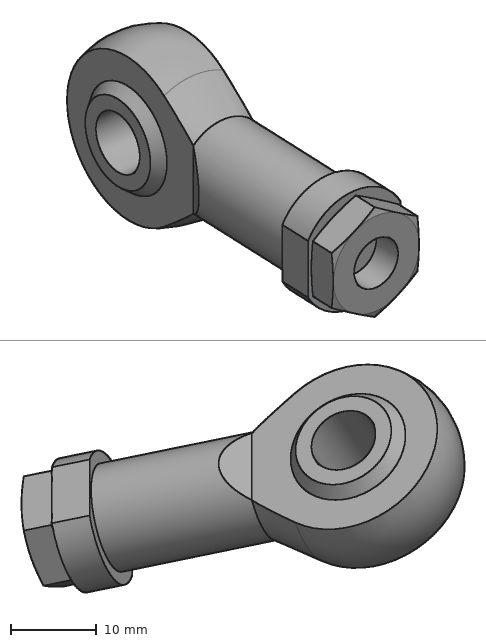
import cadquery as cq
import math

head_radius = 12.0
head_width = 9.0
hub_width = 12.0
hub_base_radius = 7.17
hub_face_radius = 5.97
eye_bore_diameter = 8.0
neck_x = 12.0
neck_slope_angle = 30.0
shank_diameter = 12.93
shank_end_x = 36.0
collar_length = 4.7
collar_diameter = 16.0
collar_across_flats = 14.0
nut_across_flats = 13.0
nut_thickness = 4.0
nut_chamfer_angle = 16.0
nut_bore_diameter = 6.65
nut_sides = 6

head_face_y = head_width / 2
hub_face_y = hub_width / 2
shank_radius = shank_diameter / 2
collar_start_x = shank_end_x - collar_length
nut_end_x = shank_end_x + nut_thickness
nut_flat_radius = nut_across_flats / 2
nut_corner_radius = nut_flat_radius / math.cos(math.pi / nut_sides)
nut_chamfer_depth = (nut_corner_radius - nut_flat_radius) * math.tan(math.radians(nut_chamfer_angle))


def make_turned_blank():
    """Spherical head, tangent conical neck and shank, revolved about X."""
    corner_distance = math.hypot(neck_x, shank_radius)
    tangent_angle = math.atan2(shank_radius, neck_x) + math.acos(head_radius / corner_distance)
    tangent_point = (head_radius * math.cos(tangent_angle), head_radius * math.sin(tangent_angle))
    return (
        cq.Workplane("XY")
        .moveTo(-head_radius, 0)
        .threePointArc((0, head_radius), tangent_point)
        .lineTo(neck_x, shank_radius)
        .lineTo(shank_end_x, shank_radius)
        .lineTo(shank_end_x, 0)
        .close()
        .revolve(360, (0, 0, 0), (1, 0, 0))
    )


def make_head_side_cutter():
    """Stock beyond the +Y head face, ending in a slope that runs out on the shank."""
    outer_reach = 2 * head_radius
    slope_run = (outer_reach - head_face_y) / math.tan(math.radians(neck_slope_angle))
    return (
        cq.Workplane("XY")
        .moveTo(-outer_reach, head_face_y)
        .lineTo(neck_x, head_face_y)
        .lineTo(neck_x + slope_run, outer_reach)
        .lineTo(-outer_reach, outer_reach)
        .close()
        .extrude(outer_reach, both=True)
    )


def make_collar():
    """Round collar with two wrench flats facing +Y and -Y."""
    disc = (
        cq.Workplane("YZ", origin=(collar_start_x, 0, 0))
        .circle(collar_diameter / 2)
        .extrude(collar_length)
    )
    flats = (
        cq.Workplane("YZ", origin=(collar_start_x, 0, 0))
        .rect(collar_across_flats, collar_diameter)
        .extrude(collar_length)
    )
    return disc.intersect(flats)


def make_hubs():
    """Coaxial hubs of the eye, tapering outward from both head faces."""
    return (
        cq.Workplane("XY")
        .moveTo(0, -hub_face_y)
        .lineTo(hub_face_radius, -hub_face_y)
        .lineTo(hub_base_radius, -head_face_y)
        .lineTo(hub_base_radius, head_face_y)
        .lineTo(hub_face_radius, hub_face_y)
        .lineTo(0, hub_face_y)
        .close()
        .revolve(360, (0, 0, 0), (0, 1, 0))
    )


def make_rod_end():
    """Bored eye with hubs, neck, shank and collar as one solid."""
    side_cutter = make_head_side_cutter()
    eye_bore = cq.Workplane("XZ").circle(eye_bore_diameter / 2).extrude(hub_width, both=True)
    return (
        make_turned_blank()
        .cut(side_cutter)
        .cut(side_cutter.mirror("XZ"))
        .union(make_collar())
        .union(make_hubs())
        .cut(eye_bore)
    )


def make_nut():
    """Hexagonal nut against the collar, both ends chamfered down to the across-flats circle."""
    half_side_angle = 180 / nut_sides
    hexagon = (
        cq.Workplane("YZ", origin=(shank_end_x, 0, 0))
        .polygon(nut_sides, 2 * nut_corner_radius)
        .extrude(nut_thickness)
        .rotate((0, 0, 0), (1, 0, 0), half_side_angle)
    )
    chamfer_envelope = (
        cq.Workplane("XY")
        .moveTo(shank_end_x, 0)
        .lineTo(shank_end_x, nut_flat_radius)
        .lineTo(shank_end_x + nut_chamfer_depth, nut_corner_radius)
        .lineTo(nut_end_x - nut_chamfer_depth, nut_corner_radius)
        .lineTo(nut_end_x, nut_flat_radius)
        .lineTo(nut_end_x, 0)
        .close()
        .revolve(360, (0, 0, 0), (1, 0, 0))
    )
    bore = (
        cq.Workplane("YZ", origin=(shank_end_x, 0, 0))
        .circle(nut_bore_diameter / 2)
        .extrude(nut_thickness)
    )
    return hexagon.intersect(chamfer_envelope).cut(bore)


rod_end = make_rod_end()
nut = make_nut()

result = cq.Compound.makeCompound([rod_end.solids().val(), nut.solids().val()])